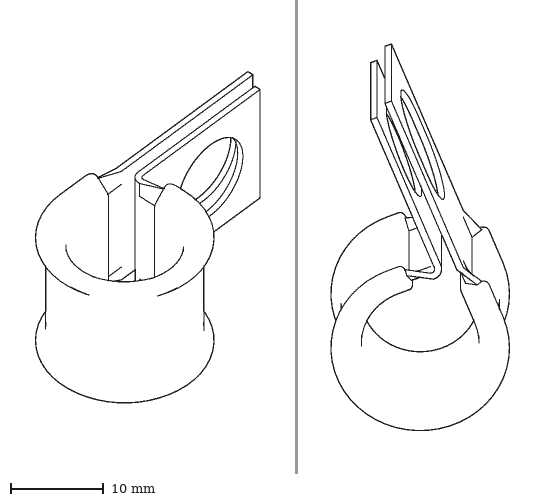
import cadquery as cq
import math

bore_radius = 6.35
body_radius = 8.55
rim_radius = 9.65
cushion_half_height = 8.62
lip_thickness = 2.0
lip_edge_radius = 0.7
outer_root_radius = 0.8
inner_root_radius = 1.15
ring_sweep = 270
long_arm = 4.65
short_arm = 1.8
arm_end_fillet = 0.53

strap_thickness = 0.75
strap_inner_radius = 7.1
strap_outer_radius = strap_inner_radius + strap_thickness
strap_half_width = 7.95
tab_gap = 1.4
bend_inner_radius = 0.45
bend_outer_radius = bend_inner_radius + strap_thickness
overall_length = 37.82
long_tab_end = overall_length - rim_radius
tab_length_difference = 1.2
short_tab_end = long_tab_end - tab_length_difference
hole_y = 19.05
hole_diameter = 10.32
slot_length = 12.8

flare_length = 2.55
flare_root_z = 6.05
flare_rise = 1.15
embed = 0.55

DIAGONAL = math.sqrt(0.5)


def arc_points(center, radius, start, end):
    """Start, middle and end of an arc given by its angles in degrees."""
    points = []
    for angle in (start, (start + end) / 2, end):
        turn = math.radians(angle)
        points.append((center[0] + radius * math.cos(turn), center[1] + radius * math.sin(turn)))
    return points


def cushion_profile():
    """Cross-section in (radius, Z): a straight band with lips flared out at 45 degrees."""
    lip_flat = (lip_thickness - 2 * lip_edge_radius) * DIAGONAL
    outer_lip_center = (rim_radius - lip_edge_radius, cushion_half_height - lip_edge_radius - lip_flat)
    inner_lip_center = (outer_lip_center[0] - lip_flat, cushion_half_height - lip_edge_radius)

    outer_cone = outer_lip_center[0] - outer_lip_center[1] + lip_edge_radius / DIAGONAL
    inner_cone = outer_cone - lip_thickness / DIAGONAL
    outer_root_r = body_radius + outer_root_radius
    inner_root_r = bore_radius + inner_root_radius
    outer_root_center = (outer_root_r, outer_root_r - outer_cone - outer_root_radius / DIAGONAL)
    inner_root_center = (inner_root_r, inner_root_r - inner_cone - inner_root_radius / DIAGONAL)

    upper_arcs = [
        arc_points(outer_root_center, outer_root_radius, 180, 135),
        arc_points(outer_lip_center, lip_edge_radius, -45, 45),
        arc_points(inner_lip_center, lip_edge_radius, 45, 135),
        arc_points(inner_root_center, inner_root_radius, 135, 180),
    ]
    lower_arcs = [[(r, -z) for r, z in reversed(arc)] for arc in reversed(upper_arcs)]

    profile = cq.Workplane("XZ").moveTo(body_radius, 0)
    for start, middle, end in upper_arcs + lower_arcs:
        profile = profile.lineTo(*start).threePointArc(middle, end)
    return profile.close()


def cushion_arm(length):
    """Straight end of the cushion on the +X side, running towards +Y."""
    return cushion_profile().extrude(-length).faces(">Y").edges().fillet(arm_end_fillet)


def cushion():
    ring = cushion_profile().revolve(ring_sweep, (0, 0), (0, 1)).rotate((0, 0, 0), (0, 0, 1), 180)
    left_arm = cushion_arm(long_arm).mirror("YZ")
    top_arm = cushion_arm(short_arm).rotate((0, 0, 0), (0, 0, 1), 90)
    return ring.union(left_arm).union(top_arm)


def strap_root(arm_length):
    """Strap between a cushion arm and its flat tab, with flared corners, on the +X side."""
    flare_start = arm_length - embed
    flare_end = arm_length + flare_length
    web = (
        cq.Workplane("XY")
        .box(strap_thickness, flare_end - flare_start, 2 * flare_root_z, centered=(False, False, True))
        .translate((strap_inner_radius, flare_start, 0))
    )

    tip_step = strap_thickness * DIAGONAL
    tip_outer = (strap_outer_radius + flare_rise, flare_root_z + flare_rise)
    tip_inner = (tip_outer[0] - tip_step, tip_outer[1] + tip_step)
    root = [(strap_inner_radius, flare_root_z), (strap_outer_radius, flare_root_z)]
    flared = root + [tip_outer, tip_inner]
    straight = root + [(strap_outer_radius, strap_half_width), (strap_inner_radius, strap_half_width)]
    blend = (
        cq.Workplane("XZ", origin=(0, arm_length, 0))
        .polyline(flared).close()
        .workplane(offset=-flare_length)
        .polyline(straight).close()
        .loft(ruled=True)
    )
    stub = cq.Workplane("XZ", origin=(0, flare_start, 0)).polyline(flared).close().extrude(-embed)
    corner = blend.union(stub)
    return web.union(corner).union(corner.mirror("XY"))


def long_tab():
    """Straight tab with the slot, on the -X side."""
    flat_start = long_arm + flare_length
    flat = (
        cq.Workplane("XY", origin=(-strap_outer_radius, flat_start, 0))
        .box(
            strap_thickness, long_tab_end - flat_start, 2 * strap_half_width,
            centered=(False, False, True),
        )
    )
    slot = (
        cq.Workplane("YZ", origin=(-strap_outer_radius, hole_y, 0))
        .slot2D(slot_length, hole_diameter)
        .extrude(strap_thickness)
    )
    return flat.cut(slot).union(strap_root(long_arm).mirror("YZ"))


def short_tab():
    """Tab with the round hole, bent through 90 degrees to lie parallel to the long tab."""
    outer_x = -strap_inner_radius + tab_gap
    inner_x = outer_x + strap_thickness
    bend_x = outer_x + bend_outer_radius
    bend_y = strap_inner_radius + bend_outer_radius
    outer_arc = arc_points((bend_x, bend_y), bend_outer_radius, 180, 270)
    inner_arc = arc_points((bend_x, bend_y), bend_inner_radius, 270, 180)
    flare_end_x = -short_arm - flare_length
    leg = (
        cq.Workplane("XY", origin=(0, 0, -strap_half_width))
        .moveTo(outer_x, short_tab_end)
        .lineTo(*outer_arc[0])
        .threePointArc(*outer_arc[1:])
        .lineTo(flare_end_x, strap_inner_radius)
        .lineTo(flare_end_x, strap_outer_radius)
        .lineTo(*inner_arc[0])
        .threePointArc(*inner_arc[1:])
        .lineTo(inner_x, short_tab_end)
        .close()
        .extrude(2 * strap_half_width)
    )
    hole = (
        cq.Workplane("YZ", origin=(outer_x, hole_y, 0))
        .circle(hole_diameter / 2)
        .extrude(strap_thickness)
    )
    root = strap_root(short_arm).rotate((0, 0, 0), (0, 0, 1), 90)
    return leg.cut(hole).union(root)


result = cushion().union(long_tab()).union(short_tab())